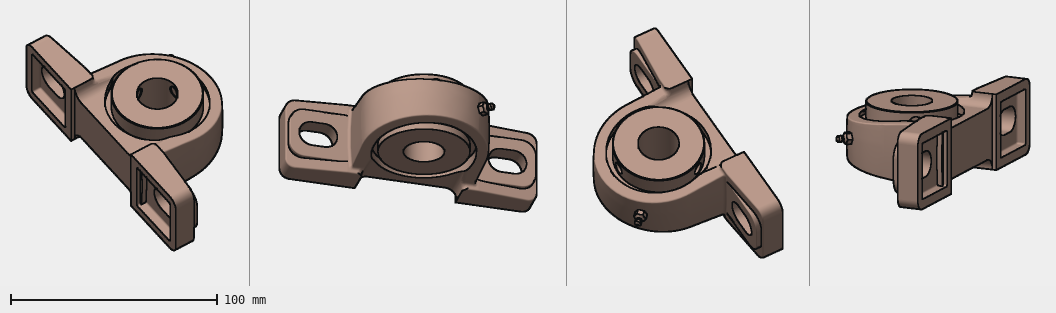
import cadquery as cq
import math

base_length = 127.0
base_width = 38.0
bore_height = 33.3

foot_inner_x = 25.4
foot_end_height = 11.0
foot_root_height = 14.0
foot_slope_end_x = 33.0
foot_corner_radius = 5.1
foot_edge_radius = 0.8
pad_end_x = 62.1
pad_width = 26.2
pad_corner_radius = 7.5
pad_edge_radius = 0.5
slot_center_x = 47.8
slot_length = 19.2
slot_width = 12.8
pocket_inner_x = 30.4
pocket_outer_x = 58.7
pocket_width = 28.1
pocket_depth = 4.8
pocket_floor_radius = 1.0

housing_radius = 31.8
housing_top = bore_height + housing_radius
housing_width_at_top = 20.2
housing_width_at_root = 31.9
housing_crown = 1.0
housing_edge_radius = 0.8
housing_root_radius = 1.5
channel_edge_radius = 2.5
web_width = 25.7
web_bottom = 2.2
web_fillet = 5.8

bore_diameter = 20.0
collar_radius = 22.4
collar_top = 18.2
collar_bottom = -12.7
collar_chamfer = 0.4
seat_radius = 25.5
seat_width = 17.0

screw_diameter = 6.0
screw_height = 12.8
screw_angles = (90, 210)
screw_inner_radius = 10.2
screw_outer_radius = 19.8

nipple_angle = 135
nipple_height = 2.2
nipple_root = 29.2
nipple_hex_across_flats = 5.4
nipple_hex_end = 35.5
nipple_cone_start = 34.0
nipple_cone_radius = 3.2
nipple_neck_start = 35.4
nipple_neck_end = 36.1
nipple_neck_radius = 1.3
nipple_head_start = 36.6
nipple_head_end = 38.0
nipple_head_radius = 1.7
nipple_tip = 38.9
nipple_tip_radius = 0.6

pick_margin = 0.1


def box_between(x_range, y_range, z_range):
    """Axis-aligned box spanning the three given ranges."""
    size = [high - low for low, high in (x_range, y_range, z_range)]
    corner = (x_range[0], y_range[0], z_range[0])
    return cq.Workplane("XY").box(*size, centered=False).translate(corner)


def disc(radius, low, high):
    """Cylinder about the bore axis between two heights along Z."""
    return cq.Workplane("XY", origin=(0, bore_height, low)).circle(radius).extrude(high - low)


def make_foot_blank():
    """Right-hand foot and half of the bridge as a plain block with a sloped top."""
    return (
        cq.Workplane("XY")
        .moveTo(0, web_bottom)
        .lineTo(foot_inner_x, web_bottom)
        .lineTo(foot_inner_x, 0)
        .lineTo(base_length / 2, 0)
        .lineTo(base_length / 2, foot_end_height)
        .lineTo(foot_slope_end_x, foot_root_height)
        .lineTo(0, foot_root_height)
        .close()
        .extrude(base_width / 2, both=True)
        .edges("|Y and >X")
        .fillet(foot_corner_radius)
    )


def make_foot_edge_trim():
    """Sliver of material to remove so that the top edges of the right-hand foot are rounded."""
    top_edges = cq.selectors.BoxSelector(
        (pick_margin, foot_end_height - pick_margin, -base_width),
        (base_length, foot_root_height + pick_margin, base_width),
    )
    blank = make_foot_blank()
    trim = blank.cut(blank.edges(top_edges).fillet(foot_edge_radius))
    outboard = box_between((foot_inner_x, base_length), (0, base_length), (-base_width, base_width))
    return trim.intersect(outboard)


def make_foot():
    """Right-hand foot with raised pad, base pocket and slot, and half of the bridge."""
    pad = (
        box_between(
            (foot_inner_x, pad_end_x),
            (pocket_depth, foot_root_height),
            (-pad_width / 2, pad_width / 2),
        )
        .edges("|Y and >X")
        .fillet(pad_corner_radius)
        .faces(">X")
        .edges(">Y")
        .fillet(pad_edge_radius)
    )
    pocket = (
        box_between(
            (pocket_inner_x, pocket_outer_x),
            (0, pocket_depth),
            (-pocket_width / 2, pocket_width / 2),
        )
        .edges("not <Y")
        .fillet(pocket_floor_radius)
    )
    slot = (
        cq.Workplane("XZ")
        .center(slot_center_x, 0)
        .slot2D(slot_length, slot_width)
        .extrude(-foot_root_height)
    )
    return make_foot_blank().union(pad).cut(pocket).cut(slot)


def make_housing():
    """Arched housing with crowned sides, tapering in width from the root to its top."""
    edge_radius = housing_radius - housing_crown

    def half_section(workplane):
        return (
            workplane
            .moveTo(0, -base_width / 2)
            .lineTo(edge_radius, -base_width / 2)
            .threePointArc((housing_radius, 0), (edge_radius, base_width / 2))
            .lineTo(0, base_width / 2)
            .close()
        )

    legs = half_section(cq.Workplane("XZ", origin=(0, bore_height, 0))).extrude(bore_height - web_bottom)
    barrel = half_section(cq.Workplane("XZ")).revolve(360, (0, 0, 0), (0, 1, 0))
    arch = legs.union(legs.mirror("YZ")).union(barrel.translate((0, bore_height, 0)))

    slope = (housing_width_at_root - housing_width_at_top) / (housing_top - foot_root_height)
    width_at_bottom = housing_width_at_root + slope * (foot_root_height - web_bottom)
    wedge = (
        cq.Workplane("YZ")
        .moveTo(web_bottom, -width_at_bottom / 2)
        .lineTo(housing_top, -housing_width_at_top / 2)
        .lineTo(housing_top, housing_width_at_top / 2)
        .lineTo(web_bottom, width_at_bottom / 2)
        .close()
        .extrude(housing_radius, both=True)
    )
    rim = cq.selectors.BoxSelector(
        (-base_length, web_bottom + pick_margin, -base_width),
        (base_length, base_length, base_width),
    )
    return arch.intersect(wedge).faces("#X").edges(rim).fillet(housing_edge_radius)


def make_channel():
    """Clearance above the web, with concave flanks that blend into it."""
    return (
        box_between(
            (-foot_inner_x, foot_inner_x),
            (0, bore_height),
            (web_width / 2, base_width),
        )
        .edges("|Y and <Z")
        .fillet(web_fillet)
    )


def round_housing_root(body):
    """Blend the foot of the housing into the tops of the mounting feet."""
    reach_x = housing_radius + pick_margin
    reach_z = housing_width_at_root / 2 + pick_margin
    root_edges = cq.selectors.BoxSelector(
        (-reach_x, foot_root_height - pick_margin, -reach_z),
        (reach_x, foot_root_height + pick_margin, reach_z),
    )
    return body.edges(root_edges).fillet(housing_root_radius)


def round_channel_edges(body):
    """Round the edges where the housing faces run into the channel flanks."""
    def flank_box(near_x, far_x):
        return cq.selectors.BoxSelector(
            (near_x, foot_root_height - 0.1, -base_width / 2 + 0.1),
            (far_x, bore_height - seat_radius * 0.4, base_width / 2 - 0.1),
        )

    inner = foot_inner_x - 1.4
    outer = foot_inner_x - 0.01
    edges = flank_box(inner, outer) + flank_box(-inner, -outer)
    return body.edges(edges).edges("not |Y").fillet(channel_edge_radius)


def radial(solid, angle, height):
    """Turn a solid built along +X to the given angle about the bore axis."""
    return solid.rotate((0, 0, 0), (0, 0, 1), angle).translate((0, bore_height, height))


def radial_rod(diameter, start, end):
    """Round rod along +X between two distances from the bore axis."""
    return cq.Workplane("YZ").workplane(offset=start).circle(diameter / 2).extrude(end - start)


def make_nipple():
    """Hexagon with a turned, necked head, built along +X."""
    across_corners = nipple_hex_across_flats / math.cos(math.pi / 6)
    hexagon = (
        cq.Workplane("YZ")
        .workplane(offset=nipple_root)
        .polygon(6, across_corners)
        .extrude(nipple_hex_end - nipple_root)
    )
    turned = (
        cq.Workplane("XY")
        .moveTo(nipple_root, 0)
        .lineTo(nipple_root, nipple_cone_radius)
        .lineTo(nipple_cone_start, nipple_cone_radius)
        .lineTo(nipple_neck_start, nipple_neck_radius)
        .lineTo(nipple_neck_end, nipple_neck_radius)
        .lineTo(nipple_head_start, nipple_head_radius)
        .lineTo(nipple_head_end, nipple_head_radius)
        .lineTo(nipple_tip, nipple_tip_radius)
        .lineTo(nipple_tip, 0)
        .close()
        .revolve(360, (0, 0, 0), (1, 0, 0))
    )
    head_rod = radial_rod(2 * nipple_head_radius, nipple_root, nipple_tip)
    return turned.intersect(hexagon.union(head_rod))


foot = make_foot()
channel = make_channel()
body = make_housing().union(foot).union(foot.mirror("YZ"))
body = round_housing_root(body)
body = body.cut(channel).cut(channel.mirror("XY"))

body = body.cut(disc(seat_radius, -base_width / 2, base_width / 2))
body = body.union(disc(seat_radius, -seat_width / 2, seat_width / 2))
body = round_channel_edges(body)
edge_trim = make_foot_edge_trim()
body = body.cut(edge_trim).cut(edge_trim.mirror("YZ"))

collar = disc(collar_radius, collar_bottom, collar_top).edges(">Z").chamfer(collar_chamfer)
body = body.union(collar).cut(disc(bore_diameter / 2, -base_width, base_width))
inner_recess = radial_rod(screw_diameter, 0, screw_inner_radius)
outer_recess = radial_rod(screw_diameter, screw_outer_radius, seat_radius)
for angle in screw_angles:
    body = body.cut(radial(inner_recess, angle, screw_height))
    body = body.cut(radial(outer_recess, angle, screw_height))

result = body.union(radial(make_nipple(), nipple_angle, nipple_height))